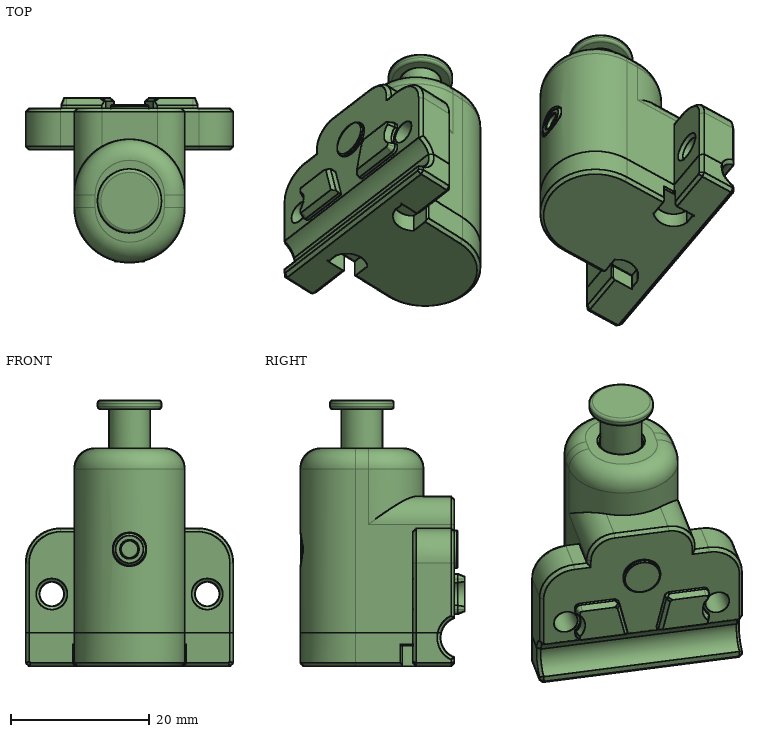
import cadquery as cq

total_height = 38.48
body_width = 16.0
body_radius = body_width / 2
body_straight = 1.85
body_front_y = -22.3
body_height = 31.55
body_top_fillet = 3.0
edge_chamfer = 0.5
front_center_y = body_front_y + body_radius
column_center_y = front_center_y + body_straight / 2
split_z = 4.9

block_height = 24.6
block_corner_radius = 4.0

plate_width = 30.0
plate_depth = 6.0
plate_height = 19.97
plate_corner_radius = 5.0
mount_hole_dia = 3.5
mount_hole_rim_dia = 4.5
mount_hole_x = 11.25
mount_hole_z = 10.45

nib_inner_x = 2.2
nib_outer_x = 9.9
nib_height = 5.85
nib_slope_run = 1.35
nib_bevel_run = 0.55
nib_bevel_drop = 0.4
nib_corner_radius = 0.75
nib_base_depth = 0.45
nib_taper_depth = 1.05
nib_taper_angle = 22
nib_relief_dia = 4.25

groove_radius = 3.0
groove_depth = 2.0
groove_z = 4.15

pocket_front_y = -7.58
pocket_back_y = -2.7
pocket_inner_x = 4.25
pocket_height = 2.95
pocket_end_radius = 3.0
pocket_end_y = -5.58
pocket_rim = 0.25

bore_clearance = 0.2
bore_rim = 0.27
plunger_dia = 6.0
plunger_bottom_z = 21.15
knob_dia = 9.27
knob_thickness = 1.3
knob_fillet = 0.45
bore_dia = plunger_dia + 2 * bore_clearance

pin_z = 16.95
pin_dia = 4.7
pin_hole_dia = 4.9
pin_face_dia = 4.0
pin_recess = 0.1
thread_dia = 2.45
thread_mouth_dia = 2.77
screw_tip_depth = 0.77
screw_head_dia = 5.5
screw_head_proud = 0.5
screw_head_length = 3.0
screw_head_chamfer = 0.2
pin_front_y = body_front_y + pin_recess
pin_back_y = screw_head_proud - screw_head_length


def turned(profile_points):
    """Solid of revolution about the cross-pin axis, from (radius, y) points."""
    return (
        cq.Workplane("XY")
        .polyline(profile_points)
        .close()
        .revolve(360, (0, 0, 0), (0, 1, 0))
        .translate((0, 0, pin_z))
    )


def box(x_min, x_max, y_min, y_max, z_min, z_max):
    size = (x_max - x_min, y_max - y_min, z_max - z_min)
    return cq.Workplane("XY").box(*size, centered=False).translate((x_min, y_min, z_min))


def mirrored_pair(shape):
    return shape.union(shape.mirror("YZ"))


def make_column():
    return (
        cq.Workplane("XY")
        .center(0, column_center_y)
        .slot2D(body_width + body_straight, body_width, 90)
        .extrude(body_height)
        .faces("<Z").edges().chamfer(edge_chamfer)
        .faces(">Z").edges().fillet(body_top_fillet)
    )


def make_block():
    return (
        box(-body_radius, body_radius, front_center_y, 0, 0, block_height)
        .edges("|Y and >Z").fillet(block_corner_radius)
        .faces(">Y").edges().chamfer(edge_chamfer)
        .edges("<Z and |Y").chamfer(edge_chamfer)
    )


def make_plate():
    half_width = plate_width / 2
    return (
        box(-half_width, half_width, -plate_depth, 0, 0, plate_height)
        .edges("|Y and >Z").fillet(plate_corner_radius)
        .edges("|Y and <Z").chamfer(edge_chamfer)
        .faces("<Y or >Y").edges().chamfer(edge_chamfer)
    )


def make_nib_envelope():
    """Prism with the sloped, bevelled inner end of one nib; it clears the nib on the other sides."""
    depth = nib_base_depth + nib_taper_depth
    margin = 2 * edge_chamfer
    half_height = nib_height / 2
    slope = nib_slope_run / nib_height
    bevel_slope = nib_bevel_run / nib_bevel_drop
    bevel_z = half_height - nib_bevel_drop
    bevel_x = nib_inner_x + slope * (nib_height - nib_bevel_drop)
    far_x = nib_outer_x + margin
    low_z = -half_height - margin
    high_z = half_height + margin
    return (
        cq.Workplane("XZ", origin=(0, 0, mount_hole_z))
        .polyline([
            (nib_inner_x - slope * margin, low_z),
            (bevel_x, bevel_z),
            (bevel_x + bevel_slope * (high_z - bevel_z), high_z),
            (far_x, high_z),
            (far_x, low_z),
        ])
        .close()
        .extrude(-depth)
        .faces(">Y").edges().chamfer(edge_chamfer)
    )


def make_nibs():
    """Two tapered nibs with sloped inner ends, relieved around the mounting holes."""
    outline = (
        cq.Sketch().rect(2 * nib_outer_x, nib_height)
        .vertices().fillet(nib_corner_radius)
    )
    back = cq.Workplane("XZ", origin=(0, 0, mount_hole_z))
    base = back.placeSketch(outline).extrude(-nib_base_depth)
    tip = (
        back.workplane(offset=-nib_base_depth)
        .placeSketch(outline)
        .extrude(-nib_taper_depth, taper=nib_taper_angle)
    )
    relief_radius = nib_relief_dia / 2
    relief = (
        cq.Workplane("XZ", origin=(mount_hole_x, 0, mount_hole_z))
        .circle(relief_radius)
        .extrude(-nib_base_depth - nib_taper_depth)
    )
    relief_flare = (
        cq.Workplane("XZ", origin=(mount_hole_x, nib_base_depth, mount_hole_z))
        .circle(relief_radius)
        .extrude(-nib_taper_depth, taper=-nib_taper_angle)
    )
    nib = base.union(tip).intersect(make_nib_envelope()).cut(relief).cut(relief_flare)
    return mirrored_pair(nib)


def make_mount_holes():
    rim_depth = (mount_hole_rim_dia - mount_hole_dia) / 2
    centers = [(-mount_hole_x, mount_hole_z), (mount_hole_x, mount_hole_z)]
    holes = cq.Workplane("XZ").pushPoints(centers).circle(mount_hole_dia / 2).extrude(plate_depth)
    rims = (
        cq.Workplane("XZ", origin=(0, -plate_depth, 0))
        .pushPoints(centers)
        .circle(mount_hole_rim_dia / 2)
        .extrude(-rim_depth, taper=45)
    )
    return holes.union(rims)


def make_groove():
    """Round bar along X with flared ends."""
    half_width = plate_width / 2
    center = (-half_width, groove_radius - groove_depth, groove_z)
    bar = cq.Workplane("YZ", origin=center).circle(groove_radius).extrude(plate_width)
    flare = (
        cq.Workplane("YZ", origin=center)
        .circle(groove_radius + edge_chamfer)
        .extrude(edge_chamfer, taper=45)
    )
    return bar.union(mirrored_pair(flare))


def make_pockets():
    """Round-ended pockets open at the bottom and sides, with a bevel where they break the outer faces."""
    end_x = -pocket_inner_x - pocket_end_radius
    round_end = (
        cq.Workplane("XY", origin=(end_x, pocket_end_y, 0))
        .circle(pocket_end_radius)
        .extrude(pocket_height)
        .intersect(box(end_x, 0, pocket_front_y, pocket_back_y, 0, pocket_height))
    )
    mouth = box(-body_radius, end_x, pocket_front_y, pocket_back_y, 0, pocket_height)
    recess = mouth.union(round_end)
    side_bevel = (
        cq.Workplane("YZ", origin=(-body_radius, 0, 0))
        .center((pocket_front_y + pocket_back_y) / 2, 0)
        .rect(pocket_back_y - pocket_front_y + 2 * pocket_rim, 2 * (pocket_height + pocket_rim))
        .extrude(pocket_rim, taper=45)
    )
    plate_bevel = (
        cq.Workplane("XZ", origin=(-body_radius, -plate_depth, 0))
        .rect(2 * pocket_rim, 2 * (pocket_height + pocket_rim))
        .extrude(-pocket_rim, taper=44)
    )
    return mirrored_pair(recess.union(side_bevel).union(plate_bevel))


def make_bore():
    floor = cq.Workplane("XY", origin=(0, column_center_y, plunger_bottom_z))
    bore = floor.circle(bore_dia / 2).extrude(body_height - plunger_bottom_z)
    rim = (
        cq.Workplane("XY", origin=(0, column_center_y, body_height))
        .circle(bore_dia / 2 + bore_rim)
        .extrude(-bore_rim, taper=45)
    )
    return bore.union(rim)


def make_cross_hole():
    """Stepped hole that holds the cross pin and the screw head."""
    return turned([
        (0, body_front_y),
        (pin_hole_dia / 2, body_front_y),
        (pin_hole_dia / 2, pin_back_y),
        (screw_head_dia / 2, pin_back_y),
        (screw_head_dia / 2, 0),
        (0, 0),
    ])


def make_shell():
    """Housing and base cover before they are parted."""
    shell = make_column().union(make_block()).union(make_plate()).union(make_nibs())
    for tool in (make_mount_holes(), make_groove(), make_pockets(), make_bore(), make_cross_hole()):
        shell = shell.cut(tool)
    return shell


def make_plunger():
    rod = (
        cq.Workplane("XY", origin=(0, column_center_y, plunger_bottom_z))
        .circle(plunger_dia / 2)
        .extrude(total_height - plunger_bottom_z)
    )
    knob = (
        cq.Workplane("XY", origin=(0, column_center_y, total_height - knob_thickness))
        .circle(knob_dia / 2)
        .extrude(knob_thickness)
        .edges().fillet(knob_fillet)
    )
    return rod.union(knob)


def make_pin():
    face_chamfer = (pin_dia - pin_face_dia) / 2
    mouth_depth = (thread_mouth_dia - thread_dia) / 2
    return turned([
        (thread_mouth_dia / 2, pin_front_y),
        (pin_face_dia / 2, pin_front_y),
        (pin_dia / 2, pin_front_y + face_chamfer),
        (pin_dia / 2, pin_back_y),
        (thread_dia / 2, pin_back_y),
        (thread_dia / 2, pin_front_y + mouth_depth),
    ])


def make_screw():
    head_radius = screw_head_dia / 2
    tip_y = pin_front_y + screw_tip_depth
    return turned([
        (0, tip_y),
        (thread_dia / 2, tip_y),
        (thread_dia / 2, pin_back_y),
        (head_radius, pin_back_y),
        (head_radius, screw_head_proud - screw_head_chamfer),
        (head_radius - screw_head_chamfer, screw_head_proud),
        (0, screw_head_proud),
    ])


shell = make_shell()
base_zone = box(-plate_width, plate_width, -plate_width, plate_width, 0, split_z)
housing = shell.cut(base_zone)
base_cover = shell.intersect(base_zone)
plunger = make_plunger()
pin = make_pin()
screw = make_screw()

result = cq.Compound.makeCompound([
    housing.val(),
    base_cover.val(),
    plunger.val(),
    pin.val(),
    screw.val(),
])